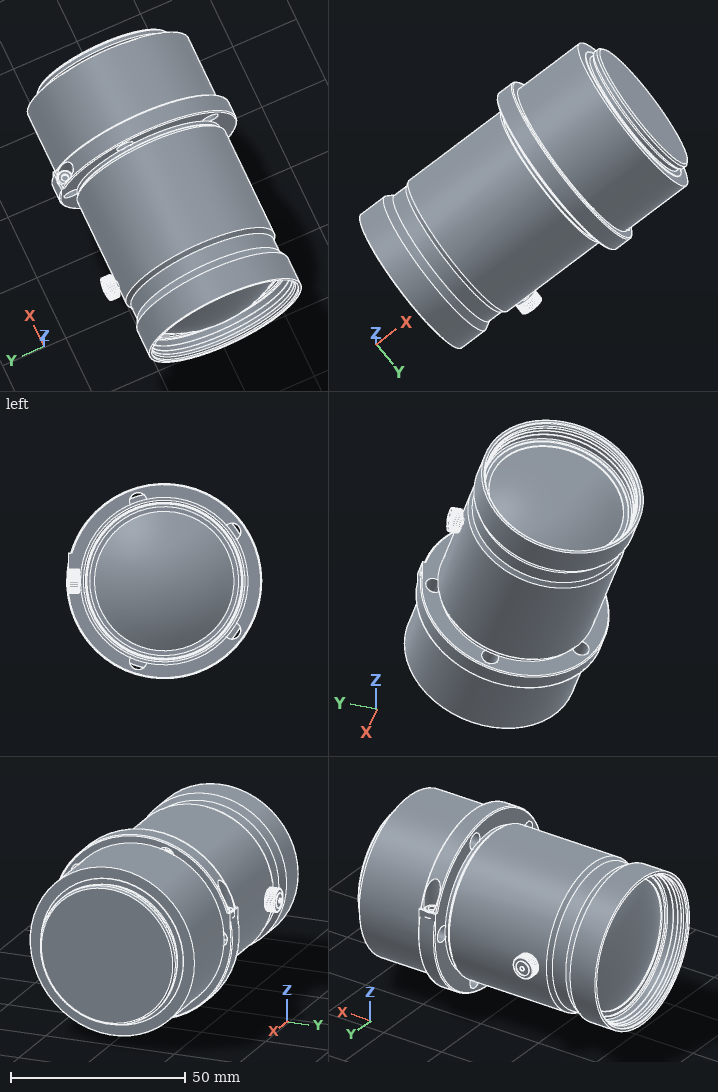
import cadquery as cq
import math

LENGTH = 84.7

BEZEL_R = 48.0 / 2
BEZEL_END = 8.6
NECK_R = 45.2 / 2
NECK_START = 11.1
NECK_END = 15.75

BARREL_R = 47.0 / 2
BARREL_START = 17.2
BARREL_END = 50.9

GROOVE_R = 44.3 / 2
GROOVE_END = 51.9
COLLAR_R = 45.0 / 2

FLANGE_R = 56.0 / 2
FLANGE_START = 53.0
FLANGE_END = 58.75
FLANGE_CHAMFER = 0.3
FLANGE_MID = (FLANGE_START + FLANGE_END) / 2

HOUSING_R = 51.05 / 2
HOUSING_END = 80.8
SEAT_R = 44.3 / 2
SEAT_END = 81.0
MOUNT_R = 40.8 / 2
MOUNT_END = 82.3
THREAD_R = 42.0 / 2
THREAD_CHAMFER = 0.6

MOUTH_R = 46.3 / 2
MOUTH_DEPTH = 0.5
BORE_START = 1.0
BORE_STEPS = [
    (45.2 / 2, 1.9),
    (45.0 / 2, 3.0),
    (44.7 / 2, 4.4),
    (44.3 / 2, 6.3),
]
RETAINER_R = 42.7 / 2
RETAINER_DEPTH = 6.8
LENS_R = 40.0 / 2
LENS_EDGE_DEPTH = 7.2
LENS_APEX_DEPTH = 1.1

HOLE_COUNT = 5
HOLE_D = 5.0
HOLE_CIRCLE_R = 48.0 / 2

LUG_Y = 27.4
LUG_TOP = 8.05
CLAMP_Y = 25.0
COUNTERBORE_D = 4.7
COUNTERBORE_FLOOR = 5.9
SCREW_HEAD_D = 4.5
SCREW_HEAD_TOP = 8.05
SCREW_HEAD_CHAMFER = 0.3
SCREW_SOCKET_D = 2.0
SCREW_SOCKET_DEPTH = 1.0

KNOB_X = 22.7
KNOB_D = 7.0
KNOB_BOTTOM = 24.3
KNOB_TOP = 27.4
KNOB_CHAMFER = 0.25
KNOB_CAP_D = 4.5
KNOB_CAP_TOP = 27.7
KNOB_TIP_D = 1.35
KNOB_TIP_TOP = 27.9
KNOB_STEM_D = 2.0
KNOB_STEM_BOTTOM = BARREL_R - 0.85
KNURL_COUNT = 36
KNURL_DEPTH = 0.2


def revolve_about_x(profile):
    return profile.close().revolve(360, (0, 0, 0), (1, 0, 0))


def make_body():
    profile = (
        cq.Workplane("XY")
        .moveTo(0, 0)
        .lineTo(0, BEZEL_R)
        .lineTo(BEZEL_END, BEZEL_R)
        .lineTo(NECK_START, NECK_R)
        .lineTo(NECK_END, NECK_R)
        .lineTo(BARREL_START, BARREL_R)
        .lineTo(BARREL_END, BARREL_R)
        .lineTo(BARREL_END, GROOVE_R)
        .lineTo(GROOVE_END, GROOVE_R)
        .lineTo(GROOVE_END, COLLAR_R)
        .lineTo(FLANGE_START, COLLAR_R)
        .lineTo(FLANGE_START, FLANGE_R - FLANGE_CHAMFER)
        .lineTo(FLANGE_START + FLANGE_CHAMFER, FLANGE_R)
        .lineTo(FLANGE_END - FLANGE_CHAMFER, FLANGE_R)
        .lineTo(FLANGE_END, FLANGE_R - FLANGE_CHAMFER)
        .lineTo(FLANGE_END, HOUSING_R)
        .lineTo(HOUSING_END, HOUSING_R)
        .lineTo(HOUSING_END, SEAT_R)
        .lineTo(SEAT_END, SEAT_R)
        .lineTo(SEAT_END, MOUNT_R)
        .lineTo(MOUNT_END, MOUNT_R)
        .lineTo(MOUNT_END + THREAD_CHAMFER, THREAD_R)
        .lineTo(LENGTH - THREAD_CHAMFER, THREAD_R)
        .lineTo(LENGTH, THREAD_R - THREAD_CHAMFER)
        .lineTo(LENGTH, 0)
    )
    return revolve_about_x(profile)


def make_front_opening():
    """Space in front of the lens: stepped bore with a domed floor."""
    sag = LENS_EDGE_DEPTH - LENS_APEX_DEPTH
    dome_r = (LENS_R**2 + sag**2) / (2 * sag)
    mid_angle = math.asin(LENS_R / dome_r) / 2
    dome_mid = (
        LENS_APEX_DEPTH + dome_r * (1 - math.cos(mid_angle)),
        dome_r * math.sin(mid_angle),
    )
    profile = cq.Workplane("XY").lineTo(0, MOUTH_R).lineTo(MOUTH_DEPTH, MOUTH_R)
    step_start = BORE_START
    for radius, step_end in BORE_STEPS:
        profile = profile.lineTo(step_start, radius).lineTo(step_end, radius)
        step_start = step_end
    profile = (
        profile.lineTo(step_start, RETAINER_R)
        .lineTo(RETAINER_DEPTH, RETAINER_R)
        .lineTo(RETAINER_DEPTH, LENS_R)
        .lineTo(LENS_EDGE_DEPTH, LENS_R)
        .threePointArc(dome_mid, (LENS_APEX_DEPTH, 0))
    )
    return revolve_about_x(profile)


def make_flange_holes():
    """Holes through the flange, starting clear of the collar in front of it."""
    return (
        cq.Workplane("YZ", origin=(FLANGE_START, 0, 0))
        .polarArray(HOLE_CIRCLE_R, 0, 360, HOLE_COUNT)
        .circle(HOLE_D / 2)
        .extrude(FLANGE_END - FLANGE_START)
    )


def disc_along_y(diameter, bottom, top):
    """Disc of the locking screw between two heights along +Y."""
    return (
        cq.Workplane("XZ", origin=(KNOB_X, bottom, 0))
        .circle(diameter / 2)
        .extrude(bottom - top)
    )


def make_knob():
    head = disc_along_y(KNOB_D, KNOB_BOTTOM, KNOB_TOP).edges().chamfer(KNOB_CHAMFER)
    for i in range(KNURL_COUNT):
        groove = (
            cq.Workplane("XY")
            .box(KNURL_DEPTH, KNOB_D, KNURL_DEPTH)
            .rotate((0, 0, 0), (0, 1, 0), 45)
            .translate((KNOB_D / 2, KNOB_TOP, 0))
            .rotate((0, 0, 0), (0, 1, 0), i * 360 / KNURL_COUNT)
            .translate((KNOB_X, 0, 0))
        )
        head = head.cut(groove)
    cap = disc_along_y(KNOB_CAP_D, KNOB_BOTTOM, KNOB_CAP_TOP)
    tip = disc_along_y(KNOB_TIP_D, KNOB_BOTTOM, KNOB_TIP_TOP)
    stem = disc_along_y(KNOB_STEM_D, KNOB_STEM_BOTTOM, KNOB_TOP)
    return head.union(cap).union(tip).union(stem)


def disc_along_z(diameter, bottom, top):
    """Disc on the clamp screw axis between two heights along +Z."""
    return (
        cq.Workplane("XY", origin=(FLANGE_MID, CLAMP_Y, bottom))
        .circle(diameter / 2)
        .extrude(top - bottom)
    )


def add_clamp(body):
    lug = cq.Workplane("XY").box(
        FLANGE_END - FLANGE_START, LUG_Y - CLAMP_Y, LUG_TOP, centered=(True, False, False)
    )
    lug = lug.translate((FLANGE_MID, CLAMP_Y, 0))
    screw = disc_along_z(SCREW_HEAD_D, COUNTERBORE_FLOOR, SCREW_HEAD_TOP)
    screw = screw.faces(">Z").edges().chamfer(SCREW_HEAD_CHAMFER)
    socket = disc_along_z(SCREW_SOCKET_D, SCREW_HEAD_TOP - SCREW_SOCKET_DEPTH, SCREW_HEAD_TOP)
    counterbore = disc_along_z(COUNTERBORE_D, COUNTERBORE_FLOOR, FLANGE_R)
    return body.union(lug).cut(counterbore).union(screw.cut(socket))


body = make_body().cut(make_front_opening())
body = add_clamp(body)
body = body.cut(make_flange_holes())
result = body.union(make_knob())